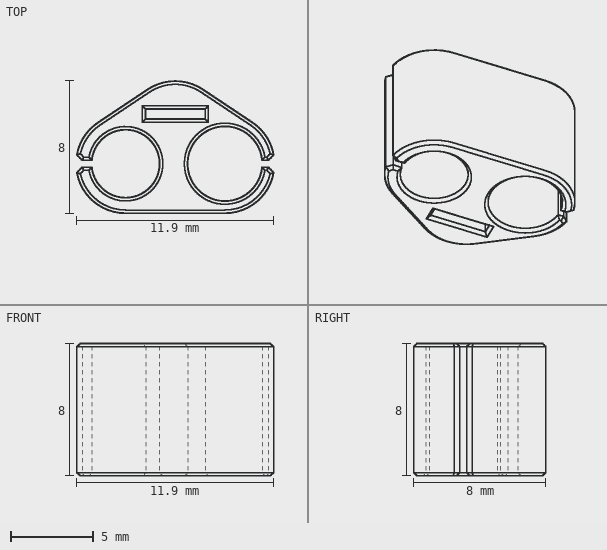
import cadquery as cq
import math

height = 8.0
corner_radius = 3.0
bore_spacing = 6.0
apex_offset = 2.0

left_bore_radius = 2.05
right_bore_radius = 2.25
gap_width = 0.4
mouth_chamfer = 0.33

slot_length = 3.59
slot_width = 0.6
slot_offset = 3.0

edge_chamfer = 0.2

bore_x = bore_spacing / 2
tip_y = gap_width / 2 + mouth_chamfer
tip_x = bore_x + math.sqrt(corner_radius**2 - tip_y**2)


def make_body():
    slope = math.atan2(apex_offset, bore_x)
    normal_x = corner_radius * math.sin(slope)
    normal_y = corner_radius * math.cos(slope)
    side_x = bore_x + normal_x
    apex_y = apex_offset + normal_y
    return (
        cq.Workplane("XY")
        .moveTo(-bore_x, -corner_radius)
        .lineTo(bore_x, -corner_radius)
        .threePointArc((bore_x + corner_radius, 0), (side_x, normal_y))
        .lineTo(normal_x, apex_y)
        .threePointArc((0, apex_offset + corner_radius), (-normal_x, apex_y))
        .lineTo(-side_x, normal_y)
        .threePointArc((-bore_x - corner_radius, 0), (-bore_x, -corner_radius))
        .close()
        .extrude(height)
    )


def make_bore(x, radius):
    return cq.Workplane("XY").center(x, 0).circle(radius).extrude(height)


def make_gap(side):
    """Gap from a bore axis outward, flaring at 45 degrees; side is -1 or +1."""
    half_gap = gap_width / 2
    flare_start = tip_x - mouth_chamfer
    flare_end = bore_x + corner_radius
    flare_y = half_gap + flare_end - flare_start
    return (
        cq.Workplane("XY")
        .polyline([
            (side * bore_x, -half_gap),
            (side * flare_start, -half_gap),
            (side * flare_end, -flare_y),
            (side * flare_end, flare_y),
            (side * flare_start, half_gap),
            (side * bore_x, half_gap),
        ])
        .close()
        .extrude(height)
    )


def make_slot():
    return cq.Workplane("XY").center(0, slot_offset).rect(slot_length, slot_width).extrude(height)


result = make_body()
for side, radius in ((-1, left_bore_radius), (1, right_bore_radius)):
    result = result.cut(make_bore(side * bore_x, radius))
    result = result.cut(make_gap(side))
result = result.cut(make_slot())
result = result.faces("<Z or >Z").edges().chamfer(edge_chamfer)